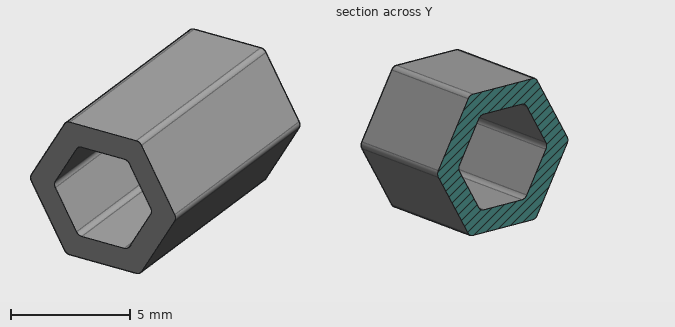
import cadquery as cq
import math

length = 10.0
outer_across_flats = 6.25
inner_across_flats = 4.2
outer_corner_radius = 0.3
inner_corner_radius = 0.3


def hex_prism(across_flats, corner_radius):
    """Hexagonal bar along Y, flats facing +Z and -Z, with rounded long edges."""
    across_corners = across_flats / math.cos(math.radians(30))
    return (
        cq.Workplane("XZ")
        .polygon(6, across_corners)
        .extrude(length / 2, both=True)
        .edges("|Y")
        .fillet(corner_radius)
    )


outer_body = hex_prism(outer_across_flats, outer_corner_radius)
bore = hex_prism(inner_across_flats, inner_corner_radius)
result = outer_body.cut(bore)